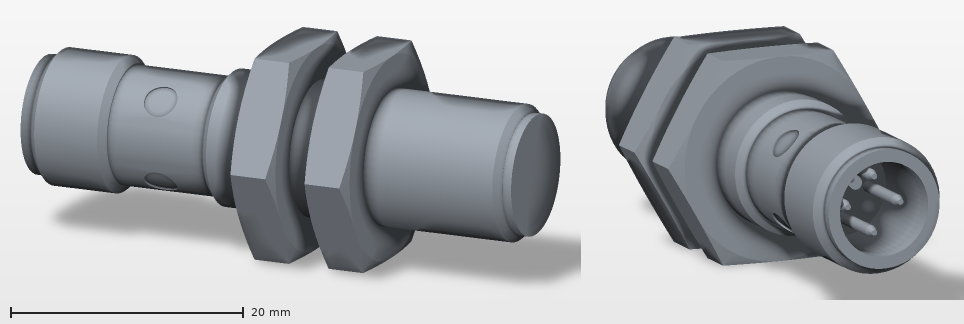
import cadquery as cq
import math

total_length = 45.95
barrel_dia = 12.0
barrel_chamfer = 0.65
lip_dia = 10.5
cap_dia = 10.65
head_start = 0.95
head_end = 8.15
barrel_start = 17.05
barrel_end = 45.15

window_dia = 3.0
window_floor_dia = 10.1
window_x = 12.45
window_count = 4

socket_dia = 8.3
socket_depth = 8.75
pin_dia = 1.0
pin_tip_dia = 0.5
pin_tip_length = 0.8
pin_start = 1.98
pin_circle_radius = 2.5
pin_count = 4
key_width = 1.15
key_center_radius = 3.4
key_start = 0.55
key_angle = 45.0

nut_flats = 18.0
nut_thickness = 4.0
nut_starts = (21.5, 28.45)
nut_chamfer_angle = 15.0


def disc(start, end, diameter):
    """Cylinder on the X axis between two X positions."""
    return cq.Workplane("YZ", origin=(start, 0, 0)).circle(diameter / 2).extrude(end - start)


def make_outer_shell():
    """Stepped round shape: lip, connector head, neck, barrel and sensing face."""
    lip_and_neck = disc(0, barrel_start, lip_dia)
    head = disc(head_start, head_end, barrel_dia).edges().chamfer(barrel_chamfer)
    barrel = disc(barrel_start, barrel_end, barrel_dia).edges().chamfer(barrel_chamfer)
    cap = disc(barrel_end, total_length, cap_dia)
    return lip_and_neck.union(head).union(barrel).union(cap)


def cut_windows(body):
    """Cut round pockets into the neck, each with a floor concentric to the axis."""
    core = disc(head_end, barrel_start, window_floor_dia)
    for index in range(window_count):
        angle = 360 / window_count * (index + 0.5)
        drill = (
            cq.Workplane("XY", origin=(window_x, 0, 0))
            .circle(window_dia / 2)
            .extrude(lip_dia)
            .rotate((0, 0, 0), (1, 0, 0), angle)
        )
        body = body.cut(drill.cut(core))
    return body


def make_pin():
    """Contact pin on the X axis, tapered at its free end."""
    tip_end = pin_start + pin_tip_length
    return (
        cq.Workplane("XY")
        .moveTo(pin_start, 0)
        .lineTo(pin_start, pin_tip_dia / 2)
        .lineTo(tip_end, pin_dia / 2)
        .lineTo(socket_depth, pin_dia / 2)
        .lineTo(socket_depth, 0)
        .close()
        .revolve(360, (0, 0, 0), (1, 0, 0))
    )


def make_key():
    """Round-nosed rib along the socket wall that codes the plug position."""
    wall_radius = (socket_dia + lip_dia) / 4
    length = socket_depth - key_start
    nose = disc(key_start, socket_depth, key_width).translate((0, key_center_radius, 0))
    root = (
        cq.Workplane("YZ", origin=(key_start, (key_center_radius + wall_radius) / 2, 0))
        .rect(wall_radius - key_center_radius, key_width)
        .extrude(length)
    )
    return nose.union(root).rotate((0, 0, 0), (1, 0, 0), key_angle)


def make_sensor():
    """Sensor body with its windows, socket, contact pins and coding key."""
    body = cut_windows(make_outer_shell())
    body = body.cut(disc(0, socket_depth, socket_dia))
    for index in range(pin_count):
        pin = make_pin().translate((0, pin_circle_radius, 0))
        body = body.union(pin.rotate((0, 0, 0), (1, 0, 0), index * 360 / pin_count))
    return body.union(make_key())


def make_nut(start):
    """Hexagon nut with corners on Y, both faces chamfered conically at the corners."""
    corner_radius = nut_flats / math.sqrt(3)
    face_radius = nut_flats / 2
    corner_drop = (corner_radius - face_radius) * math.tan(math.radians(nut_chamfer_angle))
    hexagon = cq.Workplane("YZ").polygon(6, 2 * corner_radius).extrude(nut_thickness)
    envelope = (
        cq.Workplane("XY")
        .polyline([
            (0, 0),
            (0, face_radius),
            (corner_drop, corner_radius),
            (nut_thickness - corner_drop, corner_radius),
            (nut_thickness, face_radius),
            (nut_thickness, 0),
        ])
        .close()
        .revolve(360, (0, 0, 0), (1, 0, 0))
    )
    bore = disc(0, nut_thickness, barrel_dia)
    return hexagon.intersect(envelope).cut(bore).translate((start, 0, 0))


sensor = make_sensor()
nuts = [make_nut(start) for start in nut_starts]

result = cq.Compound.makeCompound([sensor.val(), *[nut.val() for nut in nuts]])